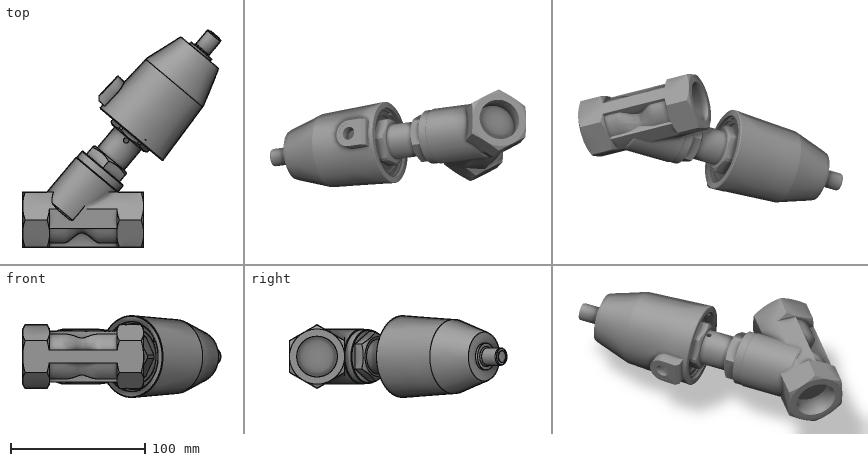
import cadquery as cq
import math


axis_angle = 50.0
axis_crossing_x = -17.5

body_length = 90.0
body_hex = 41.0
end_hex_length = 20.0
middle_overlap = 2.5
hex_chamfer_angle = 30.0
port_diameter = 30.29
port_depth = 17.0
slab_half_thickness = 18.95
slab_bottom_y = -6.5
web_thickness = 9.7

passage_radius = 18.0
waist_half_height = 10.3
waist_half_width = 17.7
waist_x = -1.0
waist_half_length = 14.0
waist_sections = 9

neck_diameter = 41.0
neck_foot_height = 4.8
neck_foot_taper = 1.2
neck_foot_inset = 0.6
neck_shoulder_height = 43.3
neck_top_height = 50.2
neck_top_diameter = 40.0
neck_edge_chamfer = 0.5
neck_fillet = 3.0

bonnet_hex = 32.0
bonnet_hex_length = 8.8
bonnet_face_diameter = 29.6
tube_diameter = 26.0
tube_end_height = 79.2
vent_diameter = 4.0
vent_depth = 4.0
vent_height = 77.0

base_hex = 32.0
base_hex_corners = 35.4
base_face_diameter = 30.8
base_diameter = 52.0
base_lip_inset = 2.4
base_lip_inner_diameter = 49.0
base_inset = 3.7
base_thickness = 7.0
base_recess_diameter = 42.0
base_recess_chamfer = 0.4
base_recess_depth = 1.4
base_pin_diameter = 2.5
base_pin_radius = 24.2
base_pin_angles = (105.0, 150.0)
base_pin_inset = 2.0

housing_bottom_height = 82.8
housing_top_height = 132.6
housing_bottom_radius = 30.47
housing_top_radius = 27.6
housing_rim_chamfer = 0.5

air_height = 99.9
air_top_reach = 36.2
air_width = 20.0
air_flat_end = 13.2
air_edge_chamfer = 2.5
air_seat_diameter = 16.0
air_seat_depth = 0.3
air_hole_diameter = 9.8
air_hole_depth = 9.0

cover_band_top_height = 134.0
cover_band_top_radius = 27.5
cover_rim_height = 160.2
cover_rim_radius = 19.1
cover_top_height = 162.2
cover_top_radius = 18.2

flange_diameter = 20.0
flange_thickness = 2.0
flange_taper = 1.0
indicator_diameter = 13.0
indicator_top_height = 179.3
indicator_chamfer_width = 0.4
indicator_chamfer_length = 1.0
button_diameter = 8.7
button_thickness = 0.5

hex_chamfer_slope = math.tan(math.radians(hex_chamfer_angle))
housing_draft = math.degrees(
    math.atan((housing_bottom_radius - housing_top_radius) / (housing_top_height - housing_bottom_height))
)
body_end_x = body_length / 2
inner_end_x = body_end_x - end_hex_length
base_lip_height = housing_bottom_height + base_lip_inset
base_face_height = housing_bottom_height + base_inset
base_top_height = base_face_height + base_thickness

tilted_axis = cq.Plane(
    origin=(axis_crossing_x, 0, 0),
    xDir=(-math.sin(math.radians(axis_angle)), math.cos(math.radians(axis_angle)), 0),
    normal=(math.cos(math.radians(axis_angle)), math.sin(math.radians(axis_angle)), 0),
)


def on_tilted_axis(shape):
    """Move a shape modelled along +Z onto the tilted axis (its Y becomes the global Z)."""
    return cq.Workplane(shape.val().moved(cq.Location(tilted_axis)))


def turned(*profile):
    """Solid of revolution about Z from (radius, height) points, closed along the axis."""
    points = [(0, profile[0][1]), *profile, (0, profile[-1][1])]
    return cq.Workplane("XZ").polyline(points).close().revolve(360, (0, 0), (0, 1))


def hexagon(plane, start, length, across_flats, turn=0.0):
    """Hexagonal prism; without a turn its corners lie on the first axis of the plane."""
    return (
        cq.Workplane(plane)
        .workplane(offset=start)
        .transformed(rotate=(0, 0, turn))
        .polygon(6, across_flats / math.cos(math.pi / 6))
        .extrude(length)
    )


def end_hexagon(start_x):
    """Hexagon at one end of the pipe, with the corners of both faces chamfered."""
    prism = hexagon("YZ", start_x, end_hex_length, body_hex, turn=90)
    face_radius = body_hex / 2
    middle_radius = face_radius + end_hex_length / 2 / hex_chamfer_slope
    double_cone = turned(
        (face_radius, 0), (middle_radius, end_hex_length / 2), (face_radius, end_hex_length)
    )
    double_cone = double_cone.rotate((0, 0, 0), (0, 1, 0), 90).translate((start_x, 0, 0))
    return prism.intersect(double_cone)


def flow_passage():
    """Round passage that flattens to an ellipse over the valve seat."""
    waist = None
    step = 2 * waist_half_length / (waist_sections - 1)
    for index in range(waist_sections):
        offset = -waist_half_length + index * step
        roundness = (1 - math.cos(math.pi * offset / waist_half_length)) / 2
        half_height = waist_half_height + roundness * (passage_radius - waist_half_height)
        half_width = waist_half_width + roundness * (passage_radius - waist_half_width)
        if waist is None:
            waist = cq.Workplane("YZ", origin=(waist_x + offset, 0, 0))
        else:
            waist = waist.workplane(offset=step)
        waist = waist.ellipse(half_height, half_width)
    passage = waist.loft()
    inlet_length = waist_x - waist_half_length + inner_end_x
    outlet_length = inner_end_x - waist_x - waist_half_length
    inlet = cq.Workplane("YZ", origin=(-inner_end_x, 0, 0)).circle(passage_radius).extrude(inlet_length)
    outlet = cq.Workplane("YZ", origin=(inner_end_x, 0, 0)).circle(passage_radius).extrude(-outlet_length)
    return passage.union(inlet).union(outlet)


def body_middle():
    """Hexagon between the ends, flattened above and below and cut away beside the lower web."""
    middle_length = 2 * (inner_end_x + middle_overlap)
    middle = hexagon("YZ", -middle_length / 2, middle_length, body_hex, turn=90)
    slab = cq.Workplane("XY").box(middle_length, body_hex, 2 * slab_half_thickness)
    middle = middle.intersect(slab)
    pocket_height = slab_bottom_y + body_hex / 2
    pocket_depth = body_hex
    for side in (-1, 1):
        pocket = cq.Workplane("XY").box(middle_length, pocket_height, pocket_depth).translate(
            (0, slab_bottom_y - pocket_height / 2, side * (web_thickness + pocket_depth) / 2)
        )
        middle = middle.cut(pocket)
    return middle.union(flow_passage())


def body_neck():
    neck_radius = neck_diameter / 2
    top_radius = neck_top_diameter / 2
    return on_tilted_axis(
        turned(
            (neck_radius - neck_foot_inset, neck_foot_height),
            (neck_radius, neck_foot_height + neck_foot_taper),
            (neck_radius, neck_shoulder_height),
            (top_radius, neck_shoulder_height + neck_radius - top_radius),
            (top_radius, neck_top_height - neck_edge_chamfer),
            (top_radius - neck_edge_chamfer, neck_top_height),
        )
    )


def blend_neck(body):
    """Fillet the two edges where the neck leans over the sloping flats, towards the outlet."""
    half_hex = body_hex / 2
    outlet_side = cq.selectors.BoxSelector((0, 0, -half_hex), (half_hex, half_hex, half_hex))
    return body.edges("%ELLIPSE").edges(outlet_side).fillet(neck_fillet)


def make_valve_body():
    body = blend_neck(body_middle().union(body_neck()))
    for start_x in (-body_end_x, inner_end_x):
        body = body.union(end_hexagon(start_x))
    for end_x, direction in ((-body_end_x, 1), (body_end_x, -1)):
        port = cq.Workplane("YZ", origin=(end_x, 0, 0)).circle(port_diameter / 2)
        body = body.cut(port.extrude(direction * port_depth))
    return body


def make_bonnet():
    hex_top = neck_top_height + bonnet_hex_length
    prism = hexagon("XY", neck_top_height, bonnet_hex_length, bonnet_hex, turn=90)
    cone_radius = bonnet_face_diameter / 2 + bonnet_hex_length / hex_chamfer_slope
    prism = prism.intersect(
        turned((cone_radius, neck_top_height), (bonnet_face_diameter / 2, hex_top))
    )
    tube = turned((tube_diameter / 2, neck_top_height), (tube_diameter / 2, tube_end_height))
    vent = (
        cq.Workplane("XZ", origin=(0, tube_diameter / 2, 0))
        .center(0, vent_height)
        .circle(vent_diameter / 2)
        .extrude(vent_depth)
    )
    return on_tilted_axis(prism.union(tube).cut(vent))


def make_base():
    recess_floor = base_face_height + base_recess_depth
    recess_radius = base_recess_diameter / 2
    disc = turned(
        (recess_radius - base_recess_chamfer, recess_floor),
        (recess_radius - base_recess_chamfer, base_face_height + base_recess_chamfer),
        (recess_radius, base_face_height),
        (base_lip_inner_diameter / 2, base_face_height),
        (base_lip_inner_diameter / 2, base_lip_height),
        (base_diameter / 2, base_lip_height),
        (base_diameter / 2, base_top_height),
    )
    hex_length = recess_floor - tube_end_height
    prism = hexagon("XY", tube_end_height, hex_length, base_hex)
    prism = prism.intersect(hexagon("XY", tube_end_height, hex_length, base_hex_corners, turn=30))
    face_radius = base_face_diameter / 2
    prism = prism.intersect(
        turned((face_radius, tube_end_height), (face_radius + hex_length / hex_chamfer_slope, recess_floor))
    )
    base = disc.union(prism)
    for angle in base_pin_angles:
        pin = (
            cq.Workplane("XY", origin=(0, 0, housing_bottom_height + base_pin_inset))
            .polarArray(base_pin_radius, angle, 360, 1)
            .circle(base_pin_diameter / 2)
            .extrude(base_top_height - housing_bottom_height - base_pin_inset)
        )
        base = base.union(pin)
    return on_tilted_axis(base)


def set_on_draft(shape):
    """Tilt a part of the air connection to the wall's draft and lift it to its height."""
    tilted = shape.rotate((air_top_reach, 0, 0), (air_top_reach, 1, 0), -housing_draft)
    return tilted.translate((0, 0, air_height))


def air_connection():
    """Block with one round end, its outer face parallel to the drafted housing wall."""
    half_width = air_width / 2
    block = (
        cq.Workplane("YZ")
        .moveTo(-half_width, -air_flat_end)
        .lineTo(half_width, -air_flat_end)
        .lineTo(half_width, 0)
        .threePointArc((0, half_width), (-half_width, 0))
        .close()
        .extrude(air_top_reach)
        .faces(">X")
        .edges("<Z")
        .chamfer(air_edge_chamfer)
    )
    return set_on_draft(block)


def air_bore(diameter, depth):
    bore = cq.Workplane("YZ", origin=(air_top_reach, 0, 0)).circle(diameter / 2).extrude(-depth)
    return set_on_draft(bore)


def make_housing():
    shell = turned(
        (housing_bottom_radius - housing_rim_chamfer, housing_bottom_height),
        (housing_bottom_radius, housing_bottom_height + housing_rim_chamfer),
        (housing_top_radius, housing_top_height),
    )
    housing = shell.union(air_connection())
    housing = housing.cut(air_bore(air_seat_diameter, air_seat_depth))
    housing = housing.cut(air_bore(air_hole_diameter, air_hole_depth))
    base_radius = base_diameter / 2
    base_seat = turned((base_radius, housing_bottom_height), (base_radius, base_top_height))
    return on_tilted_axis(housing.cut(base_seat))


def make_cover():
    return on_tilted_axis(
        turned(
            (housing_top_radius, housing_top_height),
            (cover_band_top_radius, cover_band_top_height),
            (cover_rim_radius, cover_rim_height),
            (cover_top_radius, cover_top_height),
        )
    )


def make_indicator():
    flange_radius = flange_diameter / 2
    radius = indicator_diameter / 2
    flange_top = cover_top_height + flange_thickness
    button_radius = button_diameter / 2
    return on_tilted_axis(
        turned(
            (flange_radius, cover_top_height),
            (flange_radius, flange_top),
            (radius + flange_taper, flange_top),
            (radius, flange_top + flange_taper),
            (radius, indicator_top_height - indicator_chamfer_length),
            (radius - indicator_chamfer_width, indicator_top_height),
            (button_radius, indicator_top_height),
            (button_radius, indicator_top_height + button_thickness),
        )
    )


valve_body = make_valve_body()
bonnet = make_bonnet()
base = make_base()
housing = make_housing()
cover = make_cover()
indicator = make_indicator()

bodies = [valve_body, bonnet, base, housing, cover, indicator]
result = cq.Compound.makeCompound([body.solids().val() for body in bodies])